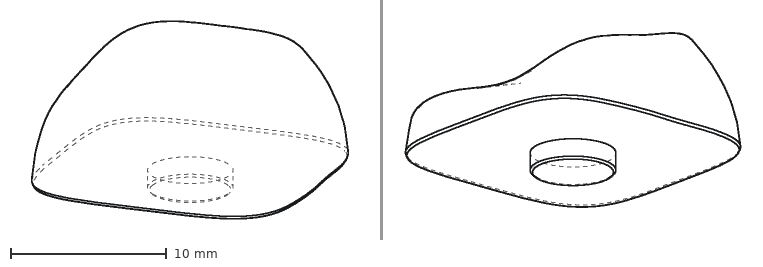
import cadquery as cq
import math

CAP_WIDTH = 17.95
CAP_HALF_WIDTH = CAP_WIDTH / 2
WALL_RADIUS = 12.5
BASE_SQUARENESS = 4.25
SQUARENESS_LOSS = 0.09
BLANK_HEIGHT = 9.0
WALL_SECTIONS = 6
OUTLINE_POINTS = 32
BASE_CHAMFER_HEIGHT = 0.2
BASE_CHAMFER_INSET = 0.1
RIM_RADIUS = 1.25

DISH_STATIONS = [
    (10.0, 10.6, 0.1),
    (5.1, 7.95, 0.3),
    (2.3, 6.68, 0.9),
    (-0.55, 5.54, 1.35),
    (-3.2, 4.65, 1.7),
    (-5.6, 3.55, 2.0),
    (-7.4, 2.4, 2.1),
    (-8.4, 1.5, 2.1),
    (-9.1, 0.0, 2.1),
]
DISH_OVERHANG = 1.0
DISH_HALF_WIDTH = CAP_HALF_WIDTH + DISH_OVERHANG
DISH_TOOL_TOP = BLANK_HEIGHT + 5.0

STEM_DIAMETER = 5.5
STEM_HEIGHT = 1.33
STEM_CHAMFER = 0.15


def superellipse_point(angle, half_width, squareness):
    """X and Y of a point on a rounded-square outline."""
    power = 2 / squareness
    cosine = math.cos(angle)
    sine = math.sin(angle)
    x = half_width * math.copysign(abs(cosine) ** power, cosine)
    y = half_width * math.copysign(abs(sine) ** power, sine)
    return x, y


def wall_section(height):
    """Closed outline of the wall at one height; the wall leans in along an arc."""
    lean = WALL_RADIUS - math.sqrt(WALL_RADIUS**2 - height**2)
    half_width = CAP_HALF_WIDTH - lean
    squareness = BASE_SQUARENESS - SQUARENESS_LOSS * height
    points = []
    for i in range(OUTLINE_POINTS):
        x, y = superellipse_point(2 * math.pi * i / OUTLINE_POINTS, half_width, squareness)
        points.append(cq.Vector(x, y, height))
    return cq.Wire.assembleEdges([cq.Edge.makeSpline(points, periodic=True)])


def dish_section(y, centre_height, side_rise):
    """Region above the dish at one Y position: an arc below, straight sides and top."""
    side_height = centre_height + side_rise
    profile = (
        cq.Workplane("XZ", origin=(0, y, 0))
        .moveTo(-DISH_HALF_WIDTH, side_height)
        .threePointArc((0, centre_height), (DISH_HALF_WIDTH, side_height))
        .lineTo(DISH_HALF_WIDTH, DISH_TOOL_TOP)
        .lineTo(-DISH_HALF_WIDTH, DISH_TOOL_TOP)
        .close()
    )
    return profile.val()


def make_cap():
    """Walls lofted from rounded squares, dished on top, rounded along the rim."""
    heights = [BLANK_HEIGHT * i / (WALL_SECTIONS - 1) for i in range(WALL_SECTIONS)]
    blank = cq.Solid.makeLoft([wall_section(height) for height in heights])
    dish = cq.Solid.makeLoft([dish_section(*station) for station in DISH_STATIONS])
    dished = cq.Workplane(blank).cut(cq.Workplane(dish))

    chamfered = dished.faces("<Z").edges().chamfer(BASE_CHAMFER_HEIGHT, BASE_CHAMFER_INSET)
    return chamfered.edges(">Z").fillet(RIM_RADIUS)


def make_stem():
    """Round post hanging from the cap's flat underside."""
    return (
        cq.Workplane("XY")
        .circle(STEM_DIAMETER / 2)
        .extrude(-STEM_HEIGHT)
        .faces("<Z")
        .chamfer(STEM_CHAMFER)
    )


cap = make_cap()
stem = make_stem()
result = cq.Compound.makeCompound([cap.val(), stem.val()])